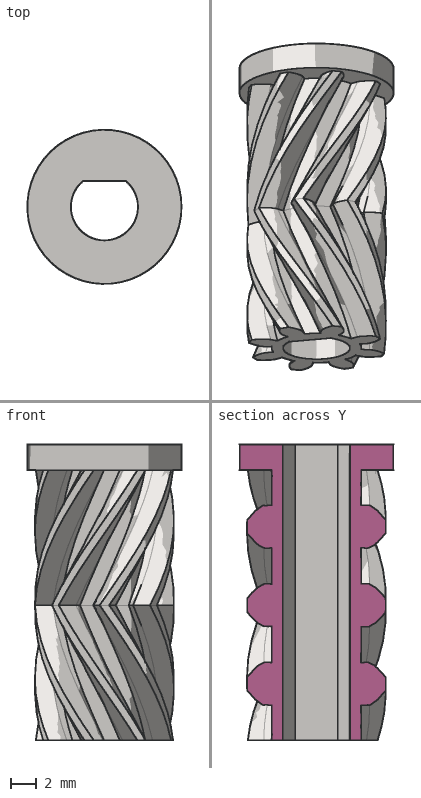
import cadquery as cq
import math

total_height = 23.0
flange_diameter = 12.0
flange_height = 2.0

bore_diameter = 5.2
flat_distance = 2.0

tooth_count = 8
tip_radius = 5.4
base_radius = 4.12
root_radius = 3.5
base_half_angle = math.radians(12.3)
twist_angle = 77.2
flank_steps = 4

gear_height = total_height - flange_height
half_height = gear_height / 2
tooth_pitch = 2 * math.pi / tooth_count


def polar(radius, angle):
    return (radius * math.cos(angle), radius * math.sin(angle))


def tooth_half_angle(radius):
    """Half the angular tooth width on the involute flank at a radius."""
    pressure_angle = math.acos(base_radius / radius)
    return base_half_angle - (math.tan(pressure_angle) - pressure_angle)


def gear_outline():
    """Closed gear profile: radial root sides, involute flanks, round tips and roots."""
    flank_radii = [
        base_radius + (tip_radius - base_radius) * step / flank_steps
        for step in range(flank_steps + 1)
    ]
    outline = cq.Workplane("XY").moveTo(*polar(root_radius, -base_half_angle))
    for tooth in range(tooth_count):
        center = tooth * tooth_pitch
        rising = [polar(r, center - tooth_half_angle(r)) for r in flank_radii]
        falling = [polar(r, center + tooth_half_angle(r)) for r in reversed(flank_radii)]
        outline = (
            outline.lineTo(*rising[0])
            .spline(rising[1:], includeCurrent=True)
            .threePointArc(polar(tip_radius, center), falling[0])
            .spline(falling[1:], includeCurrent=True)
            .lineTo(*polar(root_radius, center + base_half_angle))
            .threePointArc(
                polar(root_radius, center + tooth_pitch / 2),
                polar(root_radius, center + tooth_pitch - base_half_angle),
            )
        )
    return outline.close()


def herringbone_gear():
    """Upper helical half and its mirror image below, standing on Z = 0."""
    upper = gear_outline().twistExtrude(half_height, twist_angle)
    lower = upper.mirror("XY")
    return upper.union(lower).translate((0, 0, half_height))


def flange():
    disc = cq.Workplane("XY").workplane(offset=gear_height)
    return disc.circle(flange_diameter / 2).extrude(flange_height)


def d_bore():
    """Through bore with one flat."""
    bore = cq.Workplane("XY").circle(bore_diameter / 2).extrude(total_height)
    flat_side = (
        cq.Workplane("XY")
        .center(0, flat_distance - bore_diameter / 2)
        .rect(bore_diameter, bore_diameter)
        .extrude(total_height)
    )
    return bore.intersect(flat_side)


result = herringbone_gear().union(flange()).cut(d_bore())